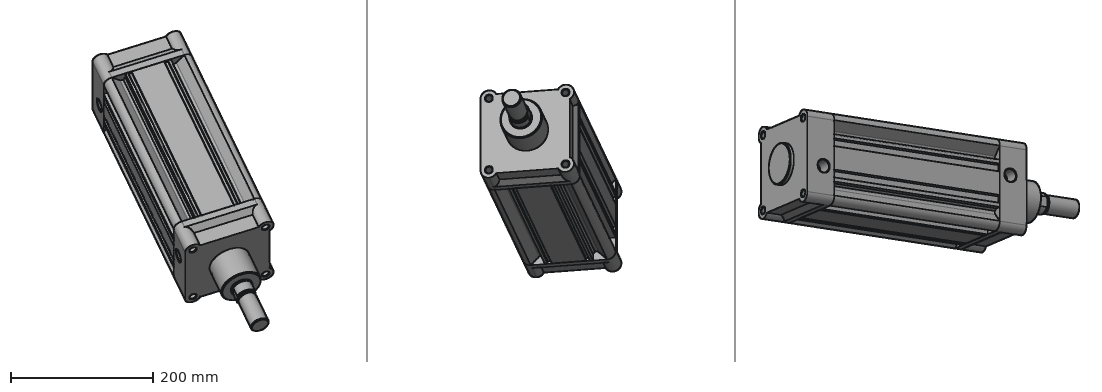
import cadquery as cq
import math

TOTAL_LENGTH = 485.0
REAR_BOSS_LENGTH = 6.5
CAP_LENGTH = 44.0
BARREL_LENGTH = 271.0
FRONT_BOSS_LENGTH = 46.5

REAR_CAP_X = REAR_BOSS_LENGTH
BARREL_X = REAR_CAP_X + CAP_LENGTH
FRONT_CAP_X = BARREL_X + BARREL_LENGTH
FRONT_FACE_X = FRONT_CAP_X + CAP_LENGTH
FRONT_BOSS_END_X = FRONT_FACE_X + FRONT_BOSS_LENGTH

SIDE = 134.0
HALF_SIDE = SIDE / 2
CORNER_RADIUS = 12.0
CORNER_CENTRE = HALF_SIDE - CORNER_RADIUS

BOSS_RADIUS = 30.0
BOSS_CHAMFER = 1.5
RECESS_DEPTH = 6.5
RECESS_FLAT_LENGTH = 23.5
RECESS_RAMP_LENGTH = 10.0
PORT_RADIUS = 9.0
PORT_CHAMFER = 1.0
PORT_DEPTH = 24.2
PORT_OFFSET_Z = 14.0
PORT_FROM_FACE = 26.5
SCREW_HOLE_RADIUS = 5.0
SCREW_HOLE_DEPTH = 24.2
SCREW_HOLE_CHAMFER = 1.0

RIB_OUTER = 34.5
GROOVE_WALL_DEPTH = 9.5
GROOVE_FOOT = 37.5
GROOVE_FOOT_DEPTH = 13.0
GROOVE_BOTTOM = 40.0
GROOVE_ARC_RADIUS = 4.0

SIDE_SLOT_INNER = 17.0
SIDE_SLOT_OUTER = 28.5
SIDE_SLOT_DEPTH = 4.0
SIDE_SLOT_TAPER = 1.5
TOP_SLOT_INNER = 24.5
TOP_SLOT_OUTER = 30.0
TOP_SLOT_DEPTH = 4.0
TOP_PANEL_DROP = 0.5

ROD_RADIUS = 16.0
SHOULDER_RADIUS = 15.5
SHOULDER_LENGTH = 17.0
SHOULDER_CHAMFER = 1.5
FLAT_HALF_WIDTH = 13.5
ROD_BEYOND_BOSS = 3.0
THREAD_RADIUS = 13.5
THREAD_CHAMFER = 1.5
NECK_RADIUS = 12.5
NECK_LENGTH = 1.5

SHOULDER_X = FRONT_BOSS_END_X + ROD_BEYOND_BOSS
SHOULDER_END_X = SHOULDER_X + SHOULDER_LENGTH
CORNERS = [(y * CORNER_CENTRE, z * CORNER_CENTRE) for y in (-1, 1) for z in (-1, 1)]


def section_plane(x):
    """Plane across the X axis whose local axes are Y and Z and whose normal is +X."""
    return cq.Workplane("YZ", origin=(x, 0, 0))


def rounded_block(x, length):
    """Square block along X with its four long edges rounded."""
    return section_plane(x).rect(SIDE, SIDE).extrude(length).edges("|X").fillet(CORNER_RADIUS)


def side_recess():
    """Cutter for the +Z side of a cap: a flat floor between the corner columns, ending in a ramp."""
    floor_z = HALF_SIDE - RECESS_DEPTH
    arc_end_y = CORNER_CENTRE - math.sqrt(CORNER_RADIUS**2 - (floor_z - CORNER_CENTRE) ** 2)
    mid_angle = math.asin((floor_z - CORNER_CENTRE) / CORNER_RADIUS) / 2 + math.pi / 4
    arc_mid_y = CORNER_CENTRE - CORNER_RADIUS * math.cos(mid_angle)
    arc_mid_z = CORNER_CENTRE + CORNER_RADIUS * math.sin(mid_angle)
    trough = (
        section_plane(0)
        .moveTo(-CORNER_CENTRE, HALF_SIDE)
        .threePointArc((-arc_mid_y, arc_mid_z), (-arc_end_y, floor_z))
        .lineTo(arc_end_y, floor_z)
        .threePointArc((arc_mid_y, arc_mid_z), (CORNER_CENTRE, HALF_SIDE))
        .close()
        .extrude(CAP_LENGTH)
    )
    ramp_profile = (
        cq.Workplane("XZ", origin=(0, HALF_SIDE, 0))
        .moveTo(0, floor_z)
        .lineTo(RECESS_FLAT_LENGTH, floor_z)
        .lineTo(RECESS_FLAT_LENGTH + RECESS_RAMP_LENGTH, HALF_SIDE)
        .lineTo(0, HALF_SIDE)
        .close()
        .extrude(SIDE)
    )
    return trough.intersect(ramp_profile)


def make_cap(boss_length, port_z):
    """End cap with its end face at X = 0, its body toward +X and its boss toward -X."""
    cap = rounded_block(0, CAP_LENGTH)

    recess = side_recess()
    for angle in (0, -90, 180):
        cap = cap.cut(recess.rotate((0, 0, 0), (1, 0, 0), angle))

    boss = section_plane(-boss_length).circle(BOSS_RADIUS).extrude(boss_length)
    cap = cap.union(boss.faces("<X").chamfer(BOSS_CHAMFER))

    port = (
        cq.Workplane("XZ", origin=(PORT_FROM_FACE, -HALF_SIDE, port_z))
        .circle(PORT_RADIUS)
        .extrude(-PORT_DEPTH)
    )
    port_mouth = (
        cq.Workplane("XZ", origin=(PORT_FROM_FACE, -HALF_SIDE, port_z))
        .circle(PORT_RADIUS + PORT_CHAMFER)
        .extrude(-PORT_CHAMFER, taper=45)
    )
    cap = cap.cut(port).cut(port_mouth)

    screw_holes = section_plane(0).pushPoints(CORNERS).circle(SCREW_HOLE_RADIUS).extrude(SCREW_HOLE_DEPTH)
    mouths = (
        section_plane(0)
        .pushPoints(CORNERS)
        .circle(SCREW_HOLE_RADIUS + SCREW_HOLE_CHAMFER)
        .extrude(SCREW_HOLE_CHAMFER, taper=45)
    )
    return cap.cut(screw_holes).cut(mouths)


def make_rear_cap():
    return make_cap(REAR_BOSS_LENGTH, -PORT_OFFSET_Z).translate((REAR_CAP_X, 0, 0))


def make_front_cap():
    """Mirrored cap with a long boss, bored for the piston rod."""
    cap = make_cap(FRONT_BOSS_LENGTH, PORT_OFFSET_Z).mirror("YZ").translate((FRONT_FACE_X, 0, 0))
    bore = section_plane(FRONT_CAP_X).circle(ROD_RADIUS).extrude(CAP_LENGTH + FRONT_BOSS_LENGTH)
    return cap.cut(bore)


def corner_groove():
    """Cutter on the +Z side of the barrel for the groove between the +Y corner and its rib."""
    half_chord = GROOVE_ARC_RADIUS * math.sin(math.radians(45))
    flank_end = GROOVE_BOTTOM + half_chord
    flank_depth = CORNER_CENTRE - flank_end
    bottom_depth = flank_depth + GROOVE_ARC_RADIUS - half_chord
    return (
        section_plane(BARREL_X)
        .moveTo(CORNER_CENTRE, HALF_SIDE)
        .lineTo(flank_end, HALF_SIDE - flank_depth)
        .threePointArc((GROOVE_BOTTOM, HALF_SIDE - bottom_depth), (GROOVE_FOOT, HALF_SIDE - GROOVE_FOOT_DEPTH))
        .lineTo(RIB_OUTER, HALF_SIDE - GROOVE_WALL_DEPTH)
        .lineTo(RIB_OUTER, HALF_SIDE)
        .close()
        .extrude(BARREL_LENGTH)
    )


def sensor_slot(inner, outer, depth, taper):
    """Cutter on the +Z side of the barrel for a slot whose floor is narrower by the taper on each wall."""
    floor_z = HALF_SIDE - depth
    return (
        section_plane(BARREL_X)
        .polyline([(inner, HALF_SIDE), (inner + taper, floor_z), (outer - taper, floor_z), (outer, HALF_SIDE)])
        .close()
        .extrude(BARREL_LENGTH)
    )


def panel_step():
    """Cutter on the +Z side of the barrel that lowers the panel between the two slots."""
    return (
        section_plane(BARREL_X)
        .center(0, HALF_SIDE)
        .rect(2 * TOP_SLOT_INNER, 2 * TOP_PANEL_DROP)
        .extrude(BARREL_LENGTH)
    )


def make_barrel():
    barrel = rounded_block(BARREL_X, BARREL_LENGTH)
    groove = corner_groove()
    side_slot = sensor_slot(SIDE_SLOT_INNER, SIDE_SLOT_OUTER, SIDE_SLOT_DEPTH, SIDE_SLOT_TAPER)
    top_slot = sensor_slot(TOP_SLOT_INNER, TOP_SLOT_OUTER, TOP_SLOT_DEPTH, 0)
    for angle, slot in ((0, top_slot), (90, side_slot), (180, top_slot), (270, side_slot)):
        for cutter in (groove, slot):
            for half in (cutter, cutter.mirror("XZ")):
                barrel = barrel.cut(half.rotate((0, 0, 0), (1, 0, 0), angle))

    step = panel_step()
    return barrel.cut(step).cut(step.mirror("XY"))


def make_piston_rod():
    """Rod through the front cap, a shoulder with two wrench flats, a neck and a plain thread cylinder."""
    rod = section_plane(FRONT_CAP_X).circle(ROD_RADIUS).extrude(SHOULDER_X - FRONT_CAP_X)

    shoulder = section_plane(SHOULDER_X).circle(SHOULDER_RADIUS).extrude(SHOULDER_LENGTH)
    shoulder = shoulder.faces(">X").chamfer(SHOULDER_CHAMFER)
    flats_width = 2 * FLAT_HALF_WIDTH
    between_flats = section_plane(SHOULDER_X).rect(flats_width, 2 * ROD_RADIUS).extrude(SHOULDER_LENGTH)
    shoulder = shoulder.intersect(between_flats)

    neck = section_plane(SHOULDER_END_X).circle(NECK_RADIUS).extrude(NECK_LENGTH)
    thread_x = SHOULDER_END_X + NECK_LENGTH
    thread = section_plane(thread_x).circle(THREAD_RADIUS).extrude(TOTAL_LENGTH - thread_x)
    thread = thread.faces("<X or >X").chamfer(THREAD_CHAMFER)
    return rod.union(shoulder).union(neck).union(thread)


rear_cap = make_rear_cap()
barrel = make_barrel()
front_cap = make_front_cap()
piston_rod = make_piston_rod()

result = cq.Compound.makeCompound([rear_cap.val(), barrel.val(), front_cap.val(), piston_rod.val()])